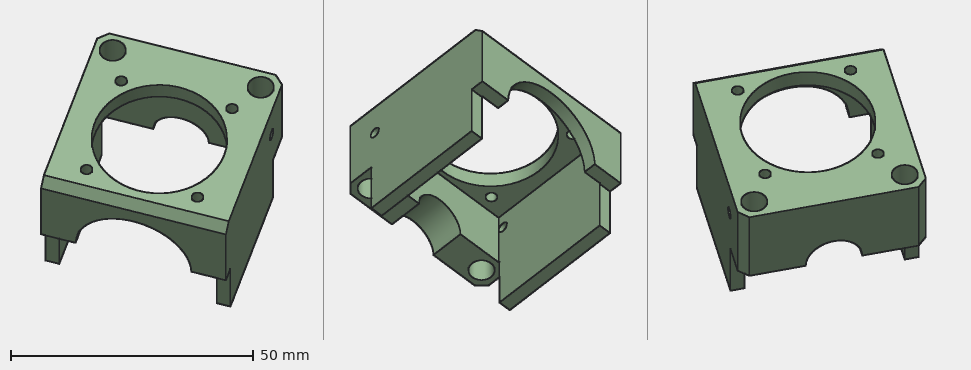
import cadquery as cq

width = 40.0
depth = 41.0
height = 30.85

top_thickness = 4.0
side_thickness = 3.0
front_thickness = 3.0
back_thickness = 8.0
front_wall_height = 17.8
back_wall_height = 18.0
chamfer = 2.0

leg_front_setback = 3.15
leg_back_setback = 8.25

arch_axis_z = -back_wall_height
front_arch_diameter = 25.0
back_arch_diameter = 11.97

window_diameter = 28.0
window_y = 18.0
screw_diameter = 2.4
screw_spacing = 24.0
bolt_diameter = 5.4
bolt_inset = back_thickness / 2

cross_hole_diameter = 2.4
cross_hole_y = depth - 9.25
cross_hole_z = -8.0


def box(x_size, y_start, y_end, z_bottom, z_top):
    """Box centred on X between the given Y and Z limits."""
    return (
        cq.Workplane("XY")
        .box(x_size, y_end - y_start, z_top - z_bottom, centered=(True, False, False))
        .translate((0, y_start, z_bottom))
    )


def vertical_holes(points, diameter):
    """Cylinders along Z through the full height."""
    return cq.Workplane("XY").pushPoints(points).circle(diameter / 2).extrude(-height)


def arch(diameter, y_start, y_end):
    """Cylinder along Y on the shaft axis."""
    return (
        cq.Workplane("XZ", origin=(0, y_start, arch_axis_z))
        .circle(diameter / 2)
        .extrude(y_start - y_end)
    )


def shell():
    """Block stepped at front and back, chamfered, then hollowed from below."""
    side_outline = [
        (0, 0),
        (depth, 0),
        (depth, -back_wall_height),
        (depth - leg_back_setback, -back_wall_height),
        (depth - leg_back_setback, -height),
        (leg_front_setback, -height),
        (leg_front_setback, -front_wall_height),
        (0, -front_wall_height),
    ]
    block = cq.Workplane("YZ").polyline(side_outline).close().extrude(width / 2, both=True)
    block = block.faces("<Y").edges(">Z").chamfer(chamfer)
    block = block.faces(">Y").edges("|Z").chamfer(chamfer)

    inner_width = width - 2 * side_thickness
    cavity = box(inner_width, front_thickness, depth - back_thickness, -height, -top_thickness)
    front_gap = box(inner_width, 0, depth / 2, -height, -front_wall_height)
    back_gap = box(inner_width, depth / 2, depth, -height, -back_wall_height)
    return block.cut(cavity).cut(front_gap).cut(back_gap)


def cut_arches(body):
    front_arch = arch(front_arch_diameter, 0, front_thickness)
    back_arch = arch(back_arch_diameter, depth - back_thickness, depth)
    return body.cut(front_arch).cut(back_arch)


def cut_top_openings(body):
    half_spacing = screw_spacing / 2
    screw_points = [
        (x, window_y + y)
        for x in (-half_spacing, half_spacing)
        for y in (-half_spacing, half_spacing)
    ]
    bolt_x = width / 2 - bolt_inset
    bolt_points = [(x, depth - bolt_inset) for x in (-bolt_x, bolt_x)]

    body = body.cut(vertical_holes([(0, window_y)], window_diameter))
    body = body.cut(vertical_holes(screw_points, screw_diameter))
    return body.cut(vertical_holes(bolt_points, bolt_diameter))


def cut_cross_holes(body):
    cross_hole = (
        cq.Workplane("YZ")
        .center(cross_hole_y, cross_hole_z)
        .circle(cross_hole_diameter / 2)
        .extrude(width / 2, both=True)
    )
    return body.cut(cross_hole)


result = cut_cross_holes(cut_top_openings(cut_arches(shell())))